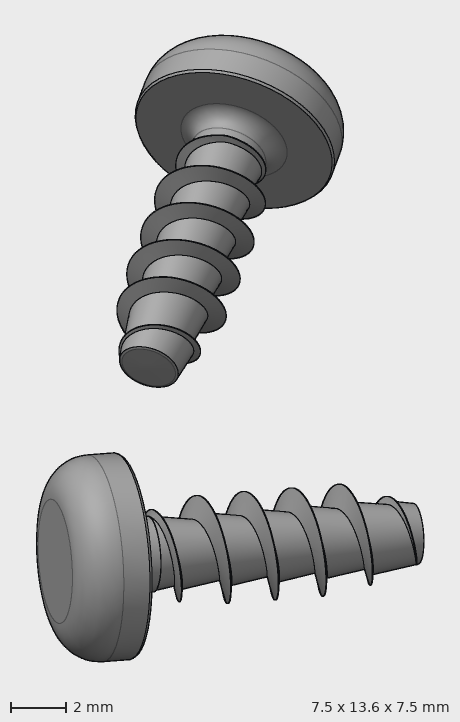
import cadquery as cq
import math


head_radius = 3.75
head_height = 2.58
head_round = 1.5
rim_chamfer_radial = 0.06
rim_chamfer_axial = 0.1
shank_radius = 1.38
under_head_fillet = 0.62
shank_end = -1.0

core_slope = 0.164
shoulder_radius = 1.36
root_radius = 1.145
tip_radius = 1.1
tip_face = -10.98
tip_edge_radius = 1.01
tip_edge_slope = 0.3
tip_cone_height = 0.03

pitch = 1.79
thread_top = -1.135
crest_radius = 2.0
crest_half_width = 0.015
flank_slope = math.tan(math.radians(15))
least_thread_height = 0.01
run_in_start = -0.5
run_in_lead = 0.4
run_in_radius = 1.365
first_crest_radius = 1.63
full_height_turn = 1.0
fade_turn = 4.0
thread_end_turn = 5.5

first_turn = -1.5
turn_count = 8
samples_per_turn = 24
corner_count = 4


def blend(value, start, end, start_result, end_result):
    """Straight-line change between two results, held constant outside the range."""
    share = min(1, max(0, (value - start) / (end - start)))
    return start_result + share * (end_result - start_result)


def thread_height(turn):
    """Height of the middle of the crest."""
    run_in = min(0, max(run_in_start, turn))
    return thread_top - pitch * (turn - run_in) - run_in_lead * run_in


def crest(turn):
    """Crest radius: it grows over the first turn and fades out at the tip."""
    if turn < 0:
        return blend(turn, run_in_start, 0, run_in_radius, first_crest_radius)
    if turn < fade_turn:
        return blend(turn, 0, full_height_turn, first_crest_radius, crest_radius)
    return blend(turn, fade_turn, thread_end_turn, crest_radius, tip_radius)


def tip_cone_radius(height):
    return tip_radius + core_slope * (height - tip_face)


def neck_cone_radius(height):
    return shank_radius + core_slope * (height - shank_end)


def root(turn):
    """Core radius at the head-side foot of the thread."""
    height = thread_height(turn)
    neck = min(shoulder_radius, neck_cone_radius(height))
    return min(max(root_radius, neck), tip_cone_radius(height))


def shoulder(turn):
    """Core radius at the tip-side foot of the thread."""
    return min(shoulder_radius, tip_cone_radius(thread_height(turn)))


def thread_section(turn):
    """Corners (radius, height) from the root over the crest to the shoulder."""
    height = thread_height(turn)
    top = max(crest(turn), root(turn) + least_thread_height, shoulder(turn) + least_thread_height)
    root_offset = crest_half_width + flank_slope * (top - root(turn))
    shoulder_offset = crest_half_width + flank_slope * (top - shoulder(turn))
    return [
        (root(turn), height + root_offset),
        (top, height + crest_half_width),
        (top, height - crest_half_width),
        (shoulder(turn), height - shoulder_offset),
    ]


def outline_corner(turn, corner):
    """Point on the helical outline; the corner after the shoulder is the next turn's root."""
    if corner == corner_count:
        turn = turn + 1
        corner = 0
    radius, height = thread_section(turn)[corner]
    angle = 2 * math.pi * turn
    return cq.Vector(-radius * math.sin(angle), height, radius * math.cos(angle))


def axis_point(turn):
    return cq.Vector(0, outline_corner(turn, 0).y, 0)


def one_turn_edge(point_at, start):
    """Smooth curve through one full turn of the given point function."""
    turns = [start + step / samples_per_turn for step in range(samples_per_turn + 1)]
    return cq.Edge.makeSpline([point_at(turn) for turn in turns])


def corner_edge(corner, start):
    return one_turn_edge(lambda turn: outline_corner(turn, corner), start)


def end_faces(turn):
    """One turn of helical floor and the flat step that joins its two ends."""
    axis_edge = one_turn_edge(axis_point, turn)
    floor = cq.Face.makeRuledSurface(corner_edge(0, turn), axis_edge)
    step_points = [outline_corner(turn, corner) for corner in range(corner_count + 1)]
    step_points = [axis_point(turn)] + step_points + [axis_point(turn + 1)]
    step_edges = [cq.Edge.makeLine(a, b) for a, b in zip(step_points, step_points[1:])]
    step = cq.Face.makeFromWires(cq.Wire.assembleEdges(step_edges + [axis_edge]))
    return [floor, step]


def threaded_core():
    """Core and thread as one solid, bounded by helical strips and closed at both ends."""
    faces = end_faces(first_turn) + end_faces(first_turn + turn_count)
    for count in range(turn_count):
        start = first_turn + count
        for corner in range(corner_count):
            strip = cq.Face.makeRuledSurface(corner_edge(corner, start), corner_edge(corner + 1, start))
            faces.append(strip)
    return cq.Workplane(cq.Solid.makeSolid(cq.Shell.makeShell(faces)).fix())


def tip_limit():
    """Turned envelope that ends the core in a broken edge and a very shallow cone."""
    edge_rise = tip_edge_slope * (head_radius - tip_edge_radius)
    envelope = (
        cq.Workplane("YZ")
        .moveTo(head_height, 0)
        .lineTo(head_height, head_radius)
        .lineTo(tip_face + edge_rise, head_radius)
        .lineTo(tip_face, tip_edge_radius)
        .lineTo(tip_face - tip_cone_height, 0)
        .close()
    )
    return envelope.revolve(360, (0, 0, 0), (1, 0, 0))


def head_and_shank():
    """Pan head, filleted neck and plain shank as one turned shape."""
    on_diagonal = math.sqrt(0.5)
    head_center = (head_height - head_round, head_radius - head_round)
    fillet_center = (-under_head_fillet, shank_radius + under_head_fillet)
    head_middle = tuple(place + head_round * on_diagonal for place in head_center)
    fillet_middle = (
        fillet_center[0] + under_head_fillet * on_diagonal,
        fillet_center[1] - under_head_fillet * on_diagonal,
    )
    profile = (
        cq.Workplane("YZ")
        .moveTo(head_height, 0)
        .lineTo(head_height, head_center[1])
        .threePointArc(head_middle, (head_center[0], head_radius))
        .lineTo(rim_chamfer_axial, head_radius)
        .lineTo(0, head_radius - rim_chamfer_radial)
        .lineTo(0, fillet_center[1])
        .threePointArc(fillet_middle, (-under_head_fillet, shank_radius))
        .lineTo(shank_end, shank_radius)
        .lineTo(shank_end, 0)
        .close()
    )
    return profile.revolve(360, (0, 0, 0), (1, 0, 0))


result = head_and_shank().union(threaded_core().intersect(tip_limit()))